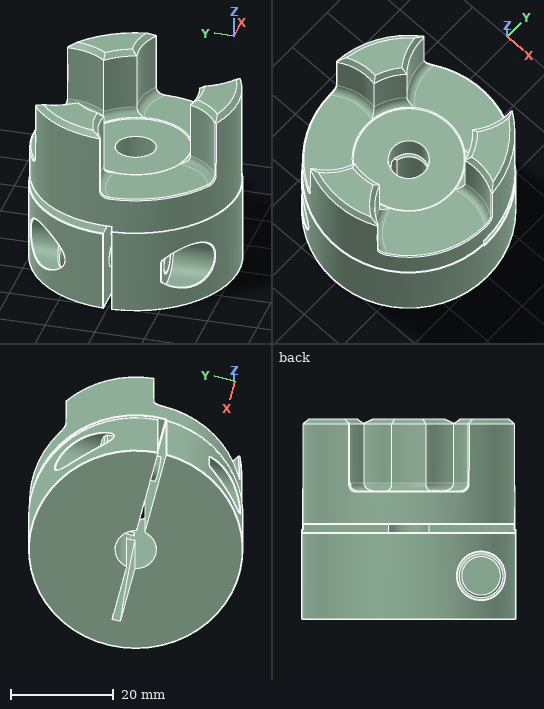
import cadquery as cq
import math

total_height = 39.0
hub_radius = 20.85
jaw_radius = 20.65
shoulder_z = 17.5
bore_radius = 4.0
edge_break = 0.15

jaw_count = 3
first_lobe_angle = 90.0
floor_z = 25.0
lobe_radius = 11.5
lobe_offset = 16.4
center_pocket_radius = 12.4
floor_fillet = 1.5
jaw_chamfer = 1.0
floor_rim_chamfer = 0.25

recess_radius = 11.0
recess_depth = 0.2

flat_slit_bottom = 16.9
flat_slit_top = 18.5
flat_slit_start_y = -0.75
saw_slit_width = 1.65
saw_radius = 31.5
saw_center_z = -11.35

screw_x = -14.05
screw_z = 8.5
screw_radius = 2.45
screw_length = 16.0
screw_tip_chamfer = 0.25
head_radius = 4.25
head_height = 5.0
head_chamfer = 0.5
counterbore_radius = 4.65
tip_face_y = -10.2
head_seat_y = tip_face_y + screw_length


def along_y(radius, start_y, end_y, x=screw_x, z=screw_z):
    """Cylinder parallel to Y between two Y positions."""
    return (
        cq.Workplane("XZ", origin=(x, start_y, z))
        .circle(radius)
        .extrude(start_y - end_y)
    )


def edges_on_cylinder(body, radius, low_z, high_z):
    """Edges that follow the hub cylinder of this radius, centred between two heights."""
    tolerance = 0.001
    samples = (0, 0.3, 0.5, 1)
    chosen = []
    for edge in body.edges().vals():
        points = [edge.positionAt(sample) for sample in samples]
        on_cylinder = all(abs(math.hypot(p.x, p.y) - radius) < tolerance for p in points)
        middle_z = edge.Center().z
        if on_cylinder and low_z + tolerance < middle_z < high_z - tolerance:
            chosen.append(edge)
    return body.newObject(chosen)


def pocket(radius):
    """Round pocket: filleted at the floor, flared at the top by the jaw chamfer."""
    fillet_reach = floor_fillet * math.sin(math.radians(45))
    return (
        cq.Workplane("XZ")
        .moveTo(0, floor_z)
        .lineTo(radius - floor_fillet, floor_z)
        .threePointArc(
            (radius - floor_fillet + fillet_reach, floor_z + floor_fillet - fillet_reach),
            (radius, floor_z + floor_fillet),
        )
        .lineTo(radius, total_height - jaw_chamfer)
        .lineTo(radius + jaw_chamfer, total_height)
        .lineTo(0, total_height)
        .close()
        .revolve(360, (0, 0, 0), (0, 1, 0))
    )


def make_blank():
    """Stepped cylinder with the jaw radius above the shoulder."""
    lower = cq.Workplane("XY").circle(hub_radius).extrude(shoulder_z).faces("<Z").chamfer(edge_break)
    upper = (
        cq.Workplane("XY", origin=(0, 0, shoulder_z))
        .circle(jaw_radius)
        .extrude(total_height - shoulder_z)
        .faces(">Z")
        .chamfer(jaw_chamfer)
    )
    return lower.union(upper)


def cut_jaws(body):
    """Cut the pockets that leave the jaws standing."""
    body = body.cut(pocket(center_pocket_radius))
    for index in range(jaw_count):
        angle = first_lobe_angle + index * 360.0 / jaw_count
        lobe = pocket(lobe_radius).translate((lobe_offset, 0, 0))
        body = body.cut(lobe.rotate((0, 0, 0), (0, 0, 1), angle))
    pocket_rims = edges_on_cylinder(body, jaw_radius, shoulder_z, total_height - jaw_chamfer)
    return pocket_rims.chamfer(floor_rim_chamfer)


def cut_recess_and_bore(body):
    """Cut the floor recess and the through bore."""
    recess = (
        cq.Workplane("XY", origin=(0, 0, floor_z))
        .circle(recess_radius)
        .workplane(offset=-recess_depth)
        .circle(recess_radius - recess_depth)
        .loft()
    )
    bore = cq.Workplane("XY").circle(bore_radius).extrude(total_height)
    return body.cut(recess).cut(bore)


def cut_slits(body):
    """Free the clamping half of the hub."""
    flat_slit = cq.Workplane("XY").box(
        2 * hub_radius, hub_radius - flat_slit_start_y, flat_slit_top - flat_slit_bottom,
        centered=(True, False, False),
    ).translate((0, flat_slit_start_y, flat_slit_bottom))
    below_flat_slit = cq.Workplane("XY").box(
        2 * hub_radius, saw_slit_width, flat_slit_bottom,
        centered=(True, True, False),
    )
    saw = along_y(saw_radius, saw_slit_width / 2, -saw_slit_width / 2, screw_x, saw_center_z)
    return body.cut(flat_slit).cut(saw.intersect(below_flat_slit))


def cut_screw_holes(body):
    """Shank hole with a counterbore at each end."""
    shank_hole = along_y(screw_radius, head_seat_y, tip_face_y)
    head_counterbore = along_y(counterbore_radius, hub_radius, head_seat_y)
    tip_counterbore = along_y(counterbore_radius, tip_face_y, -hub_radius)
    return body.cut(shank_hole).cut(head_counterbore).cut(tip_counterbore)


def break_edges(body):
    """Small chamfers where the slits and counterbores open on the outside of the hub."""
    lower_rims = edges_on_cylinder(body, hub_radius, edge_break, shoulder_z)
    body = lower_rims.chamfer(edge_break)
    slit_ceiling_rim = edges_on_cylinder(body, jaw_radius, shoulder_z, floor_z - floor_rim_chamfer)
    return slit_ceiling_rim.chamfer(edge_break)


def make_screw():
    """Cap screw: its head sits on the counterbore floor, its tip is flush at the other end."""
    shank = along_y(screw_radius, head_seat_y, tip_face_y).faces("<Y").chamfer(screw_tip_chamfer)
    head = along_y(head_radius, head_seat_y + head_height, head_seat_y).faces(">Y").chamfer(head_chamfer)
    return shank.union(head)


hub = cut_jaws(make_blank())
hub = cut_recess_and_bore(hub)
hub = cut_slits(hub)
hub = cut_screw_holes(hub)
hub = break_edges(hub)

screw = make_screw()

result = cq.Compound.makeCompound([hub.val(), screw.val()])